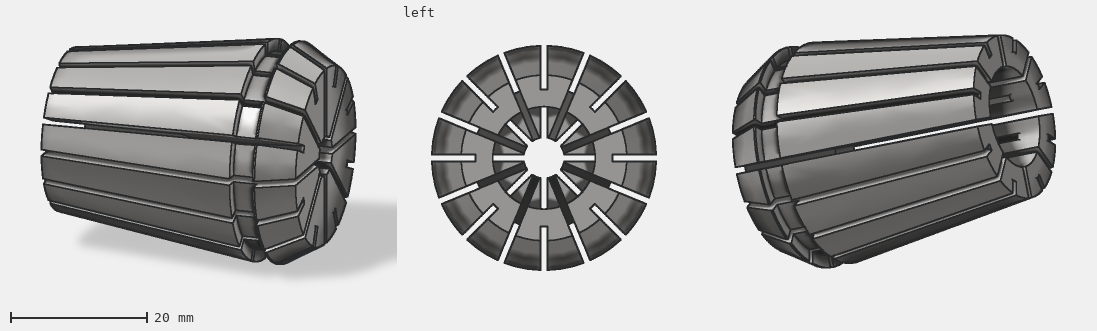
import cadquery as cq
import math

length = 40
max_diameter = 33.0
max_radius = max_diameter / 2

groove_start = 30.8
groove_end = 34.4
groove_radius = 14.7
land_width = 0.3
rear_taper_angle = 8
front_taper_angle = 30

bore_radius = 3.0
counterbore_radius = 7.5
counterbore_depth = 20

slots_per_set = 8
slot_pitch = 360 / slots_per_set
slot_width = 1.0

front_slot_end_radius = 10.1
front_slot_arc_radius = 50
rear_slot_end_radius = 10.4
rear_slot_arc_radius = 38


def taper_drop(run, angle):
    return run * math.tan(math.radians(angle))


def make_body():
    land_end = groove_end + land_width
    rear_radius = max_radius - taper_drop(groove_start, rear_taper_angle)
    front_radius = max_radius - taper_drop(length - land_end, front_taper_angle)
    return (
        cq.Workplane("XY")
        .moveTo(0, counterbore_radius)
        .lineTo(0, rear_radius)
        .lineTo(groove_start, max_radius)
        .lineTo(groove_start, groove_radius)
        .lineTo(groove_end, groove_radius)
        .lineTo(groove_end, max_radius)
        .lineTo(land_end, max_radius)
        .lineTo(length, front_radius)
        .lineTo(length, bore_radius)
        .lineTo(counterbore_depth, bore_radius)
        .lineTo(counterbore_depth, counterbore_radius)
        .close()
        .revolve(360, (0, 0, 0), (1, 0, 0))
    )


def make_slot_cutter(open_x, end_x, end_radius, arc_radius):
    """Slab of slot width, open at one end face and closed by a tangent arc at the other."""
    end_angle = math.acos(1 - end_radius / arc_radius)
    toward_end = 1 if end_x > open_x else -1
    tangent_x = end_x - toward_end * arc_radius * math.sin(end_angle)
    arc_middle = (
        tangent_x + toward_end * arc_radius * math.sin(end_angle / 2),
        arc_radius * (1 - math.cos(end_angle / 2)),
    )
    return (
        cq.Workplane("XY")
        .moveTo(open_x, 0)
        .lineTo(tangent_x, 0)
        .threePointArc(arc_middle, (end_x, end_radius))
        .lineTo(end_x, max_radius)
        .lineTo(open_x, max_radius)
        .close()
        .extrude(slot_width / 2, both=True)
    )


def cut_slot_set(body, cutter, first_angle):
    for index in range(slots_per_set):
        angle = first_angle + index * slot_pitch
        body = body.cut(cutter.rotate((0, 0, 0), (1, 0, 0), angle))
    return body


front_slot = make_slot_cutter(length, 0, front_slot_end_radius, front_slot_arc_radius)
rear_slot = make_slot_cutter(0, length, rear_slot_end_radius, rear_slot_arc_radius)

result = make_body()
result = cut_slot_set(result, front_slot, 0)
result = cut_slot_set(result, rear_slot, slot_pitch / 2)